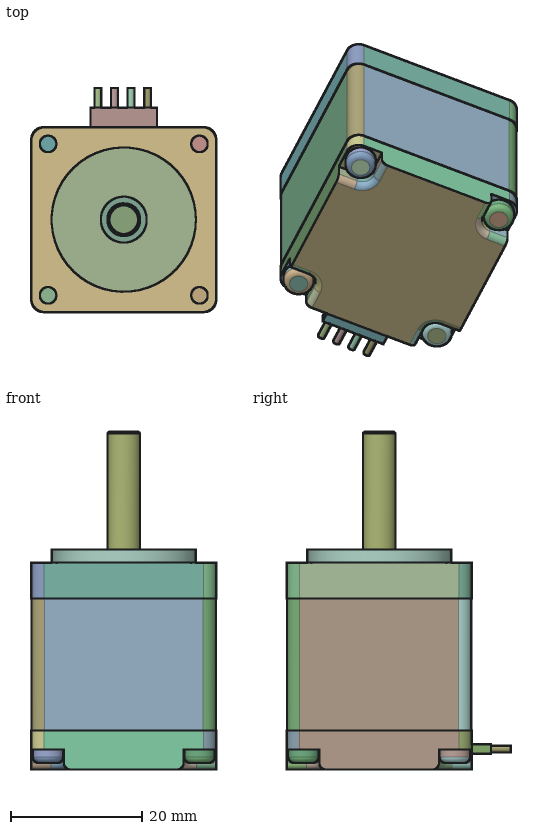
import cadquery as cq

body_width = 28.2
corner_radius = 1.95
rear_cap_top = 5.9
stator_top = 26.05
body_height = 31.5
half_width = body_width / 2
stator_width = 28.1

pilot_diameter = 22.0
pilot_height = 2.0
bore_diameter = 7.0
bore_depth = pilot_height
shaft_diameter = 5.0
shaft_top = 51.5
shaft_chamfer = 0.3

hole_offset = 11.55
hole_diameter = 2.5
hole_depth = 2.6
head_diameter = 4.65
head_height = 2.05
head_rounding = 0.95

notch_width = 5.0
notch_height = 3.05
notch_corner_radius = 1.95
notch_edge_rounding = 1.0

connector_width = 10.15
connector_depth = 2.95
connector_bottom = 2.35
connector_height = 1.5
pin_diameter = 1.1
pin_length = 3.05
pin_pitch = 2.5
pin_count = 4
pin_row_shift = -0.15

corner_points = [(x, y) for x in (-hole_offset, hole_offset) for y in (-hole_offset, hole_offset)]


def square_block(bottom, top, width):
    block = cq.Workplane("XY").workplane(offset=bottom).rect(width, width).extrude(top - bottom)
    return block.edges("|Z").fillet(corner_radius)


def make_rear_cap():
    """Rear cap whose bottom is a cross left between four corner notches."""
    cap = square_block(0, rear_cap_top, body_width)
    notches = (
        cq.Workplane("XY")
        .rect(body_width, body_width, forConstruction=True)
        .vertices()
        .rect(2 * notch_width, 2 * notch_width)
        .extrude(notch_height)
        .edges("|Z")
        .fillet(notch_corner_radius)
    )
    cap = cap.cut(notches)
    notch_rims = cap.faces("<Z").edges("not(<X or >X or <Y or >Y)")
    return notch_rims.fillet(notch_edge_rounding)


def make_screw_heads():
    heads = (
        cq.Workplane("XY")
        .workplane(offset=notch_height - head_height)
        .pushPoints(corner_points)
        .circle(head_diameter / 2)
        .extrude(head_height)
    )
    return heads.faces("<Z").edges().fillet(head_rounding)


def make_front_flange():
    flange = square_block(stator_top, body_height, body_width)
    flange = flange.faces(">Z").workplane().circle(pilot_diameter / 2).extrude(pilot_height)
    bore = (
        cq.Workplane("XY")
        .workplane(offset=body_height + pilot_height)
        .circle(bore_diameter / 2)
        .extrude(-bore_depth)
    )
    holes = (
        cq.Workplane("XY")
        .workplane(offset=body_height)
        .pushPoints(corner_points)
        .circle(hole_diameter / 2)
        .extrude(-hole_depth)
    )
    return flange.cut(bore).cut(holes)


def make_shaft():
    shaft_length = shaft_top - stator_top
    shaft = cq.Workplane("XY").workplane(offset=stator_top).circle(shaft_diameter / 2).extrude(shaft_length)
    return shaft.faces(">Z").chamfer(shaft_chamfer)


def make_connector():
    housing = cq.Workplane("XY", origin=(0, half_width, connector_bottom)).box(
        connector_width, connector_depth, connector_height, centered=(True, False, False)
    )
    pin_z = connector_bottom + connector_height / 2
    pins = (
        cq.Workplane("XZ", origin=(pin_row_shift, half_width + connector_depth, pin_z))
        .rarray(pin_pitch, 0.5, pin_count, 1)
        .circle(pin_diameter / 2)
        .extrude(-pin_length)
    )
    return housing.union(pins)


result = (
    make_rear_cap()
    .union(square_block(rear_cap_top, stator_top, stator_width))
    .union(make_front_flange())
    .union(make_shaft())
    .union(make_screw_heads())
    .union(make_connector())
)